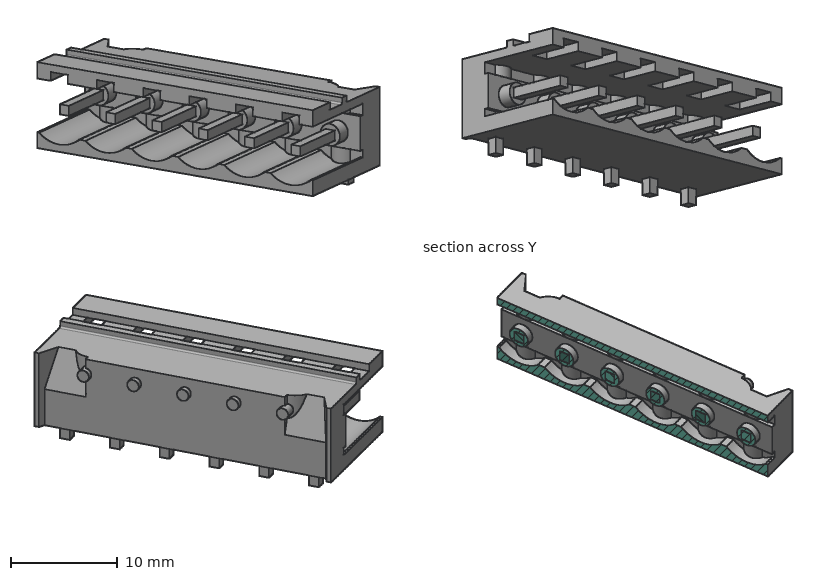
import cadquery as cq
import math


length = 30.28
depth = 12.0
arm_top = 7.65
bar_top = 8.4

pin_count = 6
pitch = 5.1
pin_xs = [(i - (pin_count - 1) / 2) * pitch for i in range(pin_count)]
gap_xs = [x + pitch / 2 for x in pin_xs[:-1]]

floor_top = 1.55
arm_under = 6.78
block_bottom = 2.27
block_top = 5.65
block_front = 8.5
groove_depth = 0.45
groove_back = block_front + groove_depth
bar_depth = 3.12

rib_front = 5.25
rib_back = 6.05
rib_top = 8.3
rib_fillet = 0.18

trough_z = 0.73
scallop_radius = 3.33
slot_width = 1.88
slot_depth = 4.12
column_width = 2.1
collar_diameter = 2.12
collar_front = 7.05

pin_size = 1.0
pin_z = 3.85
pin_tip = 0.95
tail_bottom = -1.55
tail_back = 10.45

rear_wall = 11.42
horn_width = 0.45
notch_front = 10.0
notch_start = 1.57
notch_end = 3.33
notch_slope = 70.0
arc_radius = 1.97
arc_back = 10.87
peg_diameter = 1.18
peg_z = 6.15


def side_profile():
    """Solid with the C-shaped housing section along its whole length."""
    points = [
        (0, 0),
        (depth, 0),
        (depth, arm_top),
        (rib_back, arm_top),
        (rib_back, rib_top),
        (rib_front, rib_top),
        (rib_front, arm_top),
        (bar_depth, arm_top),
        (bar_depth, bar_top),
        (0, bar_top),
        (0, arm_under),
        (groove_back, arm_under),
        (groove_back, block_top),
        (block_front, block_top),
        (block_front, block_bottom),
        (groove_back, block_bottom),
        (groove_back, floor_top),
        (0, floor_top),
    ]
    body = cq.Workplane("YZ").polyline(points).close().extrude(length / 2, both=True)
    for y in (rib_front, rib_back):
        body = body.edges(cq.selectors.NearestToPointSelector((0, y, arm_top))).fillet(rib_fillet)
    return body


def scallop(x):
    """Shallow trough cut in the lower arm under a pin."""
    rise = floor_top - trough_z
    half_chord = math.sqrt(2 * scallop_radius * rise - rise**2)
    return (
        cq.Workplane("XZ")
        .moveTo(x - half_chord, floor_top)
        .threePointArc((x, trough_z), (x + half_chord, floor_top))
        .close()
        .extrude(-groove_back)
    )


def slot(x):
    """Slot from the front along the upper arm, closed above only by the bar."""
    return cq.Workplane("XY").box(
        slot_width, slot_depth, arm_top - arm_under, centered=(True, False, False)
    ).translate((x, 0, arm_under))


def column(x):
    """Round-fronted upright that fills the grooves behind a pin, flush with the block."""
    half = column_width / 2
    return (
        cq.Workplane("XY")
        .moveTo(x - half, groove_back)
        .threePointArc((x, block_front), (x + half, groove_back))
        .close()
        .extrude(arm_top)
    )


def rod_along_y(x, z, diameter, y_start, y_end):
    """Round rod parallel to Y."""
    return (
        cq.Workplane("XZ", origin=(x, y_start, z)).circle(diameter / 2).extrude(y_start - y_end)
    )


def rear_relief():
    """Space behind the rear wall, between the slanted faces of the two end horns."""
    slant = (notch_start - horn_width) / (depth - notch_front)
    tip_x = length / 2 - horn_width
    wall_x = tip_x - slant * (depth - rear_wall)
    points = [(-tip_x, depth), (-wall_x, rear_wall), (wall_x, rear_wall), (tip_x, depth)]
    return cq.Workplane("XY").polyline(points).close().extrude(arm_top)


def rear_notch():
    """Notch in the upper rear edge at the -X end, with a steep sloping floor."""
    end_x = -length / 2
    arc_x = gap_xs[0]
    outline = (
        cq.Workplane("XY")
        .moveTo(end_x + horn_width, depth)
        .lineTo(end_x + notch_start, notch_front)
        .lineTo(end_x + notch_end, notch_front)
        .radiusArc((arc_x, arc_back), arc_radius)
        .lineTo(arc_x, depth)
        .close()
        .extrude(arm_top)
    )
    run = depth - notch_front
    drop = run * math.tan(math.radians(notch_slope))
    wedge = (
        cq.Workplane("YZ")
        .polyline([(notch_front, arm_top), (depth, arm_top), (depth, arm_top - drop)])
        .close()
        .extrude(length / 2, both=True)
    )
    return outline.intersect(wedge)


def make_pin(x):
    """Square contact pin, bent down into a solder tail."""
    half = pin_size / 2
    points = [
        (pin_tip, pin_z - half),
        (tail_back - pin_size, pin_z - half),
        (tail_back - pin_size, tail_bottom),
        (tail_back, tail_bottom),
        (tail_back, pin_z + half),
        (pin_tip, pin_z + half),
    ]
    return cq.Workplane("YZ", origin=(x, 0, 0)).polyline(points).close().extrude(half, both=True)


def make_housing(pins):
    """Housing with a matching passage for every pin."""
    body = side_profile().cut(rear_relief())
    notch = rear_notch()
    body = body.cut(notch).cut(notch.mirror("YZ"))
    for x in gap_xs:
        body = body.union(rod_along_y(x, peg_z, peg_diameter, notch_front, depth))
    for x in pin_xs:
        body = body.cut(scallop(x)).cut(slot(x))
        body = body.union(column(x))
        body = body.union(rod_along_y(x, pin_z, collar_diameter, collar_front, groove_back))
    for pin in pins:
        body = body.cut(pin)
    return body


pins = [make_pin(x) for x in pin_xs]
housing = make_housing(pins)

result = cq.Compound.makeCompound([housing.val(), *[pin.val() for pin in pins]])